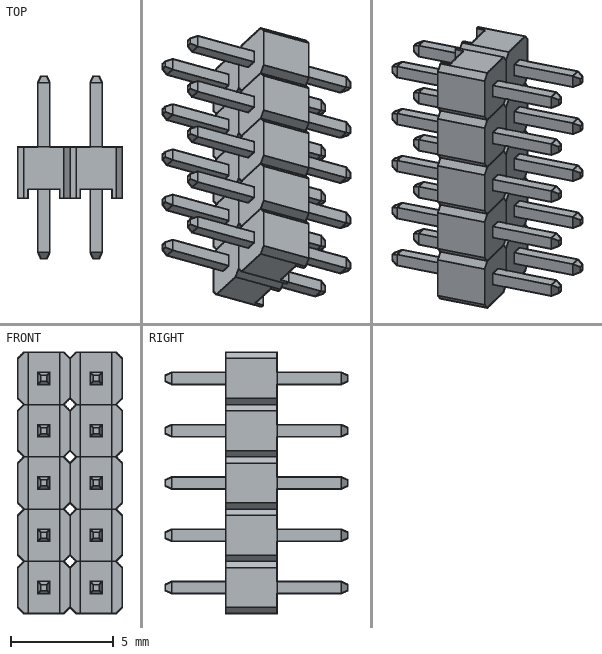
import cadquery as cq

columns = 2
rows = 5
pitch = 2.54

block_depth = 2.5
corner_chamfer = 0.3
slot_width = 1.54
slot_depth = 0.45

pin_width = 0.6
pin_length = 8.88
front_reach = 2.93
tip_width = 0.29
tip_length = 0.33

block_front = -block_depth / 2
pin_front = block_front - front_reach
pin_back = pin_front + pin_length


def make_block():
    """Octagonal block with a slot down its whole front face."""
    block = cq.Workplane("XY").box(pitch, block_depth, pitch).edges("|Y").chamfer(corner_chamfer)
    slot = (
        cq.Workplane("XY")
        .box(slot_width, slot_depth, pitch)
        .translate((0, block_front + slot_depth / 2, 0))
    )
    return block.cut(slot)


def make_tip(base_y, end_y):
    """Tapered pin end running from the full section at base_y to the small flat at end_y."""
    return (
        cq.Workplane(cq.Plane(origin=(0, base_y, 0), xDir=(1, 0, 0), normal=(0, 1, 0)))
        .rect(pin_width, pin_width)
        .workplane(offset=end_y - base_y)
        .rect(tip_width, tip_width)
        .loft(ruled=True)
    )


def make_pin():
    """Square shank along Y with both tips."""
    shank_front = pin_front + tip_length
    shank_back = pin_back - tip_length
    shank = (
        cq.Workplane("XY")
        .box(pin_width, shank_back - shank_front, pin_width)
        .translate((0, (shank_front + shank_back) / 2, 0))
    )
    front_tip = make_tip(shank_front, pin_front)
    back_tip = make_tip(shank_back, pin_back)
    return shank.union(front_tip).union(back_tip)


def make_cell(x, z):
    """One block and pin as a single solid, with the pin axis at (x, z)."""
    return make_block().union(make_pin()).translate((x, 0, z))


cells = []
for column in range(columns):
    for row in range(rows):
        cell_x = (column - (columns - 1) / 2) * pitch
        cell_z = (row - (rows - 1) / 2) * pitch
        cells.append(make_cell(cell_x, cell_z).val())

result = cq.Compound.makeCompound(cells)